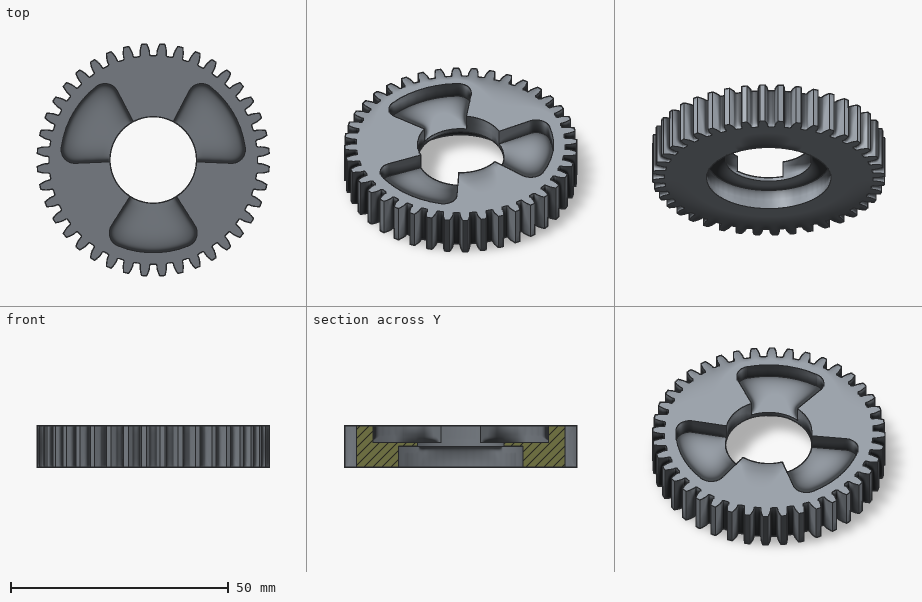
import cadquery as cq
import math

outer_size = 53.25
tooth_count = 40
pressure_angle = math.radians(14.5)
dedendum_factor = 1.157
root_fillet = 0.35
flank_segments = 4

thickness = 9.55
bore_radius = 9.9
counterbore_radius = 14.25
counterbore_depth = thickness / 2

pocket_count = 3
pocket_outer_radius = 21.3
pocket_half_angle = math.radians(32.5)
pocket_corner_radius = 3.2
pocket_depth = 3.85
first_pocket_angle = 30


def polar(radius, angle):
    return (radius * math.cos(angle), radius * math.sin(angle))


def involute(angle):
    """Involute function of a pressure angle."""
    return math.tan(angle) - angle


def tooth_half_angle(local_pressure_angle):
    """Half of the angle a tooth spans where its flank has the given pressure angle."""
    half_angle_at_pitch = math.pi / tooth_count / 2
    return half_angle_at_pitch + involute(pressure_angle) - involute(local_pressure_angle)


tooth_pitch = 2 * math.pi / tooth_count
tip_pressure_angle = math.acos(math.cos(pressure_angle) * tooth_count / (tooth_count + 2))
tip_half_angle = tooth_half_angle(tip_pressure_angle)
base_half_angle = tooth_half_angle(0)
tip_radius = outer_size / 2 / math.cos(tooth_pitch / 2 - tip_half_angle)
module = 2 * tip_radius / (tooth_count + 2)
pitch_radius = module * tooth_count / 2
base_radius = pitch_radius * math.cos(pressure_angle)
root_radius = pitch_radius - dedendum_factor * module


def make_gear_blank():
    """Spur gear with involute flanks that run radially from the base circle to filleted roots."""
    flank = []
    for i in range(flank_segments + 1):
        local_pressure_angle = tip_pressure_angle * i / flank_segments
        flank_radius = base_radius / math.cos(local_pressure_angle)
        flank.append((flank_radius, tooth_half_angle(local_pressure_angle)))

    fillet_center_radius = root_radius + root_fillet
    fillet_span = math.asin(root_fillet / fillet_center_radius)
    fillet_half_angle = base_half_angle + fillet_span
    fillet_top_radius = fillet_center_radius * math.cos(fillet_span)
    middle_direction = (math.pi + math.pi / 2 + fillet_span) / 2

    def fillet_middle(tooth_angle, side):
        center_angle = tooth_angle + side * fillet_half_angle
        center_x, center_y = polar(fillet_center_radius, center_angle)
        offset_x, offset_y = polar(root_fillet, center_angle - side * middle_direction)
        return (center_x + offset_x, center_y + offset_y)

    outline = cq.Workplane("XY").moveTo(*polar(root_radius, tooth_pitch / 2 - fillet_half_angle))
    for i in range(tooth_count):
        tooth_angle = (i + 0.5) * tooth_pitch
        next_tooth_angle = tooth_angle + tooth_pitch
        rising_flank = [polar(radius, tooth_angle - half) for radius, half in flank]
        falling_flank = [polar(radius, tooth_angle + half) for radius, half in reversed(flank)]
        outline = (
            outline
            .threePointArc(
                fillet_middle(tooth_angle, -1),
                polar(fillet_top_radius, tooth_angle - base_half_angle),
            )
            .lineTo(*rising_flank[0])
            .spline(rising_flank[1:], includeCurrent=True)
            .threePointArc(
                polar(tip_radius, tooth_angle),
                polar(tip_radius, tooth_angle + tip_half_angle),
            )
            .spline(falling_flank[1:], includeCurrent=True)
            .lineTo(*polar(fillet_top_radius, tooth_angle + base_half_angle))
            .threePointArc(
                fillet_middle(tooth_angle, 1),
                polar(root_radius, tooth_angle + fillet_half_angle),
            )
            .threePointArc(
                polar(root_radius, tooth_angle + tooth_pitch / 2),
                polar(root_radius, next_tooth_angle - fillet_half_angle),
            )
        )
    return outline.close().extrude(thickness)


def make_pocket(angle):
    """Sector-shaped cutter with rounded outer corners, centered on an angle in degrees."""
    return (
        cq.Workplane("XY")
        .workplane(offset=thickness - pocket_depth)
        .lineTo(*polar(pocket_outer_radius, -pocket_half_angle))
        .threePointArc(
            (pocket_outer_radius, 0),
            polar(pocket_outer_radius, pocket_half_angle),
        )
        .close()
        .extrude(pocket_depth)
        .edges("|Z and (not <X)")
        .fillet(pocket_corner_radius)
        .rotate((0, 0, 0), (0, 0, 1), angle)
    )


bore = cq.Workplane("XY").circle(bore_radius).extrude(thickness)
counterbore = cq.Workplane("XY").circle(counterbore_radius).extrude(counterbore_depth)

result = make_gear_blank().cut(bore).cut(counterbore)
for i in range(pocket_count):
    result = result.cut(make_pocket(first_pocket_angle + i * 360 / pocket_count))